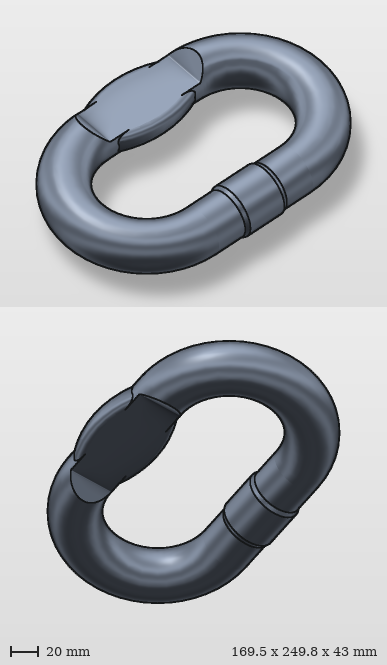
import cadquery as cq
import math

wire_diameter = 40.0
bend_radius = 60.0
link_length = 249.8
wire_radius = wire_diameter / 2
leg_half_length = link_length / 2 - bend_radius - wire_radius

collar_diameter = 43.0
collar_length = 40.0
collar_taper_length = 3.7

plate_thickness = 17.7
plate_width = 56.0
plate_side_radius = 86.2
plate_length = 80.0
plate_edge_radius = 6.0
flat_length = 86.7
ramp_corner_radius = 2.0


def make_bend(end):
    """Half ring at the +Y (end = 1) or -Y (end = -1) side."""
    profile = cq.Workplane("XZ", origin=(bend_radius, end * leg_half_length, 0)).circle(wire_radius)
    return profile.revolve(180, (-bend_radius, 0), (-bend_radius, end))


def make_leg(x):
    profile = cq.Workplane("XZ", origin=(x, leg_half_length, 0)).circle(wire_radius)
    return profile.extrude(2 * leg_half_length)


def make_collar():
    """Sleeve turned about the leg axis, tapering down to the wire at both ends."""
    half_length = collar_length / 2
    full_half_length = half_length - collar_taper_length
    collar_radius = collar_diameter / 2
    profile = (
        cq.Workplane("XY", origin=(bend_radius, 0, 0))
        .moveTo(0, -half_length)
        .lineTo(wire_radius, -half_length)
        .lineTo(collar_radius, -full_half_length)
        .lineTo(collar_radius, full_half_length)
        .lineTo(wire_radius, half_length)
        .lineTo(0, half_length)
        .close()
    )
    return profile.revolve(360, (0, 0), (0, 1))


def make_flat_cutter(side):
    """Ramp-ended trough that flattens the wire above (side = 1) or below (side = -1)."""
    floor = plate_thickness / 2
    depth = wire_diameter - floor
    half_flat = flat_length / 2
    cutter = (
        cq.Workplane("YZ", origin=(-bend_radius, 0, 0))
        .moveTo(-half_flat, side * floor)
        .lineTo(half_flat, side * floor)
        .lineTo(half_flat + depth, side * (floor + depth))
        .lineTo(-half_flat - depth, side * (floor + depth))
        .close()
        .extrude(wire_diameter, both=True)
    )
    floor_selector = "<Z" if side > 0 else ">Z"
    return cutter.faces(floor_selector).edges("|X").fillet(ramp_corner_radius)


def make_plate():
    """Plate with bowed sides whose long edges are rounded."""
    half_width = plate_width / 2
    half_length = plate_length / 2
    side_sag = plate_side_radius - math.sqrt(plate_side_radius**2 - half_length**2)
    end_half_width = half_width - side_sag
    plate = (
        cq.Workplane("XY", origin=(-bend_radius, 0, -plate_thickness / 2))
        .moveTo(-end_half_width, -half_length)
        .lineTo(end_half_width, -half_length)
        .threePointArc((half_width, 0), (end_half_width, half_length))
        .lineTo(-end_half_width, half_length)
        .threePointArc((-half_width, 0), (-end_half_width, -half_length))
        .close()
        .extrude(plate_thickness)
    )
    return plate.edges("%CIRCLE").fillet(plate_edge_radius)


link = make_leg(bend_radius).union(make_leg(-bend_radius))
for end in (1, -1):
    link = link.union(make_bend(end))
for side in (1, -1):
    link = link.cut(make_flat_cutter(side))

result = link.union(make_collar()).union(make_plate())